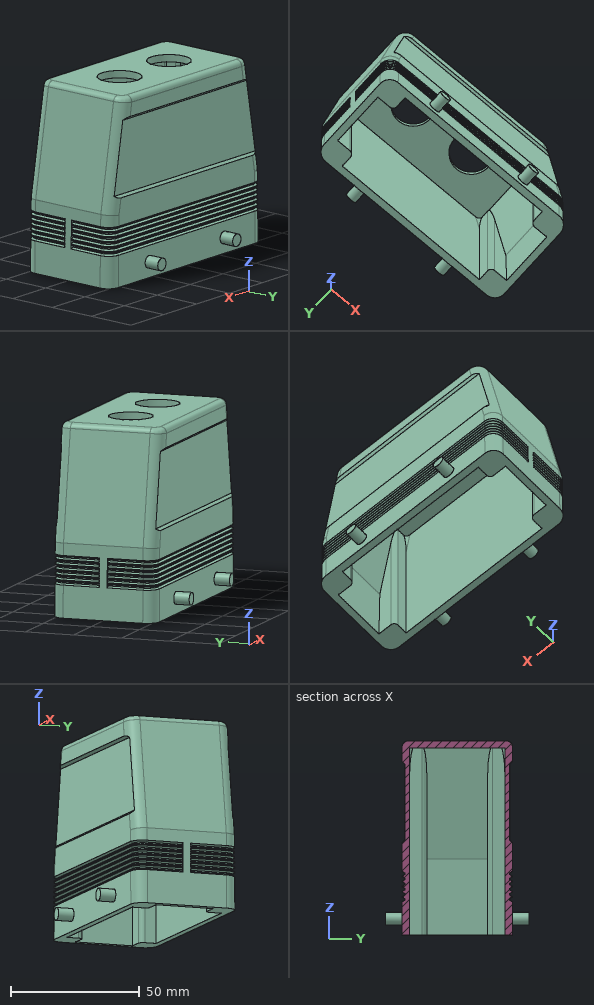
import cadquery as cq
import math

width = 43.2
height = 76.0
base_half_length = 46.75
shoulder_half_length = 46.3
shoulder_z = 29.8
top_half_length = 38.15
corner_radius = 5.05
top_edge_radius = 2.5

wall = 3.0
post_inner_x = 35.5
post_depth = 6.7
post_edge_radius = 2.0

recess_depth = 1.0
recess_floor_bottom_z = 37.1
recess_floor_top_z = 66.85

groove_count = 6
groove_band_bottom_z = 13.2
groove_band_height = 11.7
groove_depth = 1.0
groove_width = 1.7
groove_floor_width = 0.5
groove_pitch = (groove_band_height - groove_width) / (groove_count - 1)
bridge_width = 3.4

hole_diameter = 17.4
hole_spacing = 30.1

pin_diameter = 5.05
pin_span = 56.0
pin_spacing = 45.6
pin_z = 6.5


def tapered_block(inset):
    """Body shape with its sides and ends moved in by inset, and rounded upright corners."""
    half_width = width / 2 - inset
    points = [
        (base_half_length - inset, 0),
        (shoulder_half_length - inset, shoulder_z),
        (top_half_length - inset, height),
    ]
    outline = points + [(-x, z) for x, z in reversed(points)]
    block = cq.Workplane("XZ").polyline(outline).close().extrude(half_width, both=True)
    upright_edges = block.edges("(not #Z) and (not |Y) and (not |X)")
    return upright_edges.fillet(corner_radius - inset)


def outer_body():
    return tapered_block(0).faces(">Z").edges().fillet(top_edge_radius)


def corner_posts():
    """Posts filling the four corners of the interior, each with one rounded free edge."""
    posts = cq.Workplane("XY")
    post_length = base_half_length - post_inner_x
    for x_side in (-1, 1):
        for y_side in (-1, 1):
            inner_y = width / 2 - wall - post_depth
            post = (
                cq.Workplane("XY")
                .center(
                    x_side * (post_inner_x + post_length / 2),
                    y_side * (inner_y + (wall + post_depth) / 2),
                )
                .rect(post_length, wall + post_depth)
                .extrude(height)
            )
            free_edge = cq.selectors.NearestToPointSelector(
                (x_side * post_inner_x, y_side * inner_y, height / 2)
            )
            posts = posts.add(post.edges("|Z").edges(free_edge).fillet(post_edge_radius))
    return posts.combine()


def interior():
    """Hollow that leaves the wall thickness at the sides, ends and top, and the corner posts."""
    below_ceiling = cq.Workplane("XY").box(
        2 * base_half_length, width, height - wall, centered=(True, True, False)
    )
    return tapered_block(wall).intersect(below_ceiling).cut(corner_posts())


def side_recess(side):
    """Cutter running the full length of one long side."""
    outer_y = side * width / 2
    floor_y = side * (width / 2 - recess_depth)
    outline = [
        (outer_y, recess_floor_bottom_z - recess_depth),
        (floor_y, recess_floor_bottom_z),
        (floor_y, recess_floor_top_z),
        (outer_y, recess_floor_top_z + recess_depth),
    ]
    return cq.Workplane("YZ").polyline(outline).close().extrude(base_half_length, both=True)


def half_length_at(z):
    """Half length of the lower, slightly drafted part of the body."""
    return base_half_length - (base_half_length - shoulder_half_length) * z / shoulder_z


def groove(z):
    """Trapezoidal groove around the body, centred at height z."""
    flank_height = (groove_width - groove_floor_width) / 2
    flank_angle = math.degrees(math.atan(groove_depth / flank_height))
    length = 2 * half_length_at(z)

    def half_core(direction):
        """Material kept inside the groove, above or below its middle."""
        floor = (
            cq.Workplane("XY", origin=(0, 0, z))
            .rect(length - 2 * groove_depth, width - 2 * groove_depth)
            .extrude(direction * groove_floor_width / 2)
            .edges("|Z")
            .fillet(corner_radius - groove_depth)
        )
        end_face = floor.faces(">Z" if direction > 0 else "<Z")
        return floor.union(
            end_face.wires().toPending().workplane().extrude(flank_height, taper=-flank_angle)
        )

    ring = (
        cq.Workplane("XY", origin=(0, 0, z))
        .rect(length + 2 * groove_depth, width + 2 * groove_depth)
        .extrude(groove_width / 2, both=True)
    )
    bridge = cq.Workplane("XY", origin=(0, 0, z)).box(2 * length, bridge_width, groove_width)
    return ring.cut(bridge).cut(half_core(1)).cut(half_core(-1))


def cable_holes():
    return (
        cq.Workplane("XY", origin=(0, 0, height))
        .pushPoints([(-hole_spacing / 2, 0), (hole_spacing / 2, 0)])
        .circle(hole_diameter / 2)
        .extrude(-2 * wall)
    )


def locking_pins(side):
    """Pins on one long side, rooted halfway into the wall."""
    return (
        cq.Workplane("XZ", origin=(0, side * pin_span / 2, 0))
        .pushPoints([(-pin_spacing / 2, pin_z), (pin_spacing / 2, pin_z)])
        .circle(pin_diameter / 2)
        .extrude(side * (pin_span - width + wall) / 2)
    )


result = outer_body()
for side in (-1, 1):
    result = result.cut(side_recess(side))
for index in range(groove_count):
    result = result.cut(groove(groove_band_bottom_z + groove_width / 2 + index * groove_pitch))
result = result.cut(interior()).cut(cable_holes())
for side in (-1, 1):
    result = result.union(locking_pins(side))